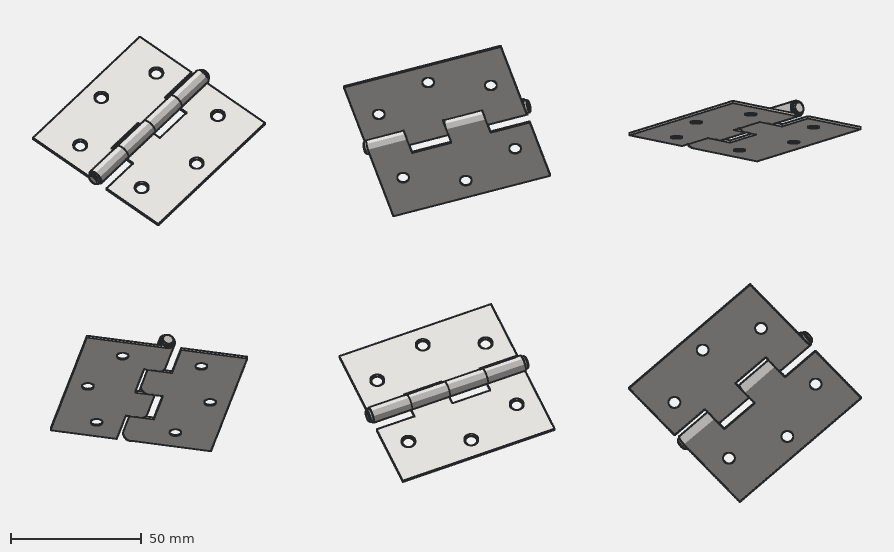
import cadquery as cq

hinge_width = 63.0
leaf_length = 63.0
leaf_thickness = 1.0
notch_reach = 5.5

knuckle_count = 4
knuckle_length = leaf_length / knuckle_count
knuckle_diameter = 6.2
axis_height = knuckle_diameter / 2

pin_length = 66.1
shank_diameter = 4.6
head_diameter = 5.0
head_tip_diameter = 4.0
head_chamfer_length = 0.5
head_length = (pin_length - leaf_length) / 2

screw_hole_diameter = 4.5
countersink_diameter = 5.5
countersink_depth = (countersink_diameter - screw_hole_diameter) / 2
outer_hole_x = 24.0
inner_hole_x = 15.5
inner_hole_y = 22.5

RIGHT = 1
LEFT = -1


def cylinder_along_y(diameter, start_y, length):
    """Cylinder on the hinge axis, running toward +Y from start_y."""
    base = cq.Plane(origin=(0, start_y, axis_height), xDir=(1, 0, 0), normal=(0, 1, 0))
    return cq.Workplane(base).circle(diameter / 2).extrude(length)


def leaf_box(side, inner_x, outer_x, start_y, length):
    """Flat piece of leaf between two distances from the hinge axis."""
    return (
        cq.Workplane("XY")
        .center(side * (inner_x + outer_x) / 2, start_y + length / 2)
        .rect(outer_x - inner_x, length)
        .extrude(leaf_thickness)
    )


def screw_holes(side):
    """Cutter for the three countersunk screw holes of one leaf."""
    points = [
        (side * outer_hole_x, 0),
        (side * inner_hole_x, inner_hole_y),
        (side * inner_hole_x, -inner_hole_y),
    ]
    profile = [
        (0, 0),
        (screw_hole_diameter / 2, 0),
        (screw_hole_diameter / 2, leaf_thickness - countersink_depth),
        (countersink_diameter / 2, leaf_thickness),
        (0, leaf_thickness),
    ]
    cutter = cq.Workplane("XZ").polyline(profile).close().revolve(360, (0, 0), (0, 1)).val()
    return cq.Workplane("XY").pushPoints(points).eachpoint(lambda place: cutter.moved(place))


def leaf(side, first_knuckle):
    """One leaf with every second knuckle, counted from the -Y end."""
    body = leaf_box(side, notch_reach, hinge_width / 2, -leaf_length / 2, leaf_length)
    for index in range(first_knuckle, knuckle_count, 2):
        start_y = -leaf_length / 2 + index * knuckle_length
        body = body.union(leaf_box(side, 0, notch_reach, start_y, knuckle_length))
        body = body.union(cylinder_along_y(knuckle_diameter, start_y, knuckle_length))
    bore = cylinder_along_y(shank_diameter, -leaf_length / 2, leaf_length)
    return body.cut(bore).cut(screw_holes(side))


def hinge_pin():
    """Pin with a wider, chamfered head against each end of the knuckles."""
    chamfer_depth = (head_diameter - head_tip_diameter) / 2
    shank = cylinder_along_y(shank_diameter, -leaf_length / 2, leaf_length)
    front_head = cylinder_along_y(head_diameter, -pin_length / 2, head_length)
    back_head = cylinder_along_y(head_diameter, leaf_length / 2, head_length)
    front_head = front_head.faces("<Y").chamfer(head_chamfer_length, chamfer_depth)
    back_head = back_head.faces(">Y").chamfer(head_chamfer_length, chamfer_depth)
    return shank.union(front_head).union(back_head)


left_leaf = leaf(LEFT, first_knuckle=0)
right_leaf = leaf(RIGHT, first_knuckle=1)
pin = hinge_pin()

result = cq.Compound.makeCompound([left_leaf.val(), right_leaf.val(), pin.val()])